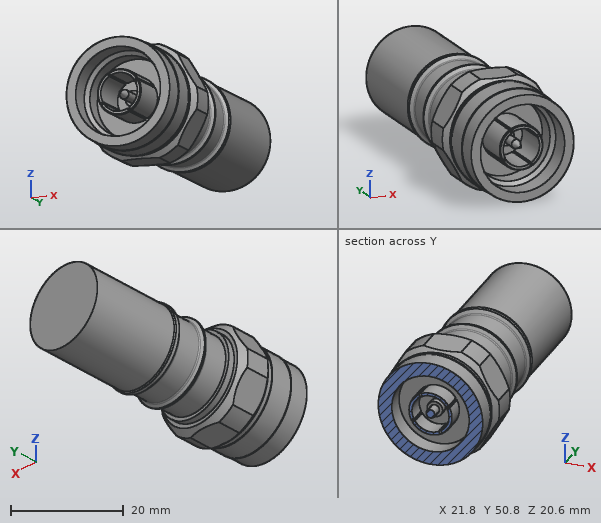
import cadquery as cq
import math

total_length = 50.8

shell_front_radius = 9.9
shell_band_radius = 10.05
shell_groove_radius = 9.9
band_start = 4.0
band_end = 8.75

nut_start = 9.65
nut_end = 17.0
nut_across_flats = 20.6
nut_corner_radius = 10.9
nut_front_chamfer = 1.0
nut_rear_chamfer = 1.3

collar_end = 18.4
neck_radius = 8.05
tube_radius = 8.55
ring_radius = 8.8
front_ring_crest_start = 24.05
front_ring_crest_end = 24.4
rear_ring_crest_start = 30.65
rear_ring_crest_end = 31.45
ring_flank_angle = math.radians(53)
ring_root_fillet = 0.35

socket_radius = 8.15
socket_inner_radius = 7.35
socket_step = 4.05
socket_depth = 8.4

sleeve_radius = 4.15
sleeve_bore_radius = 3.5
sleeve_start = 0.5
sleeve_chamfer = 0.15
slot_width = 0.35
slot_count = 4
slot_angle = 30.0

pin_radius = 0.85
pin_tip_radius = 0.15
pin_tip = 0.9
pin_cone_length = 2.05
pin_shoulder_radius = 1.45
pin_shoulder_start = 7.1


def turned(profile):
    """Close a (radius, Y) profile and turn it around the Y axis."""
    return profile.close().revolve(360, (0, 0, 0), (0, 1, 0))


def turned_points(points):
    return turned(cq.Workplane("XY").polyline(points))


def tube(outer_radius, inner_radius, start, end):
    ring = cq.Workplane("XZ", origin=(0, start, 0)).circle(outer_radius).circle(inner_radius)
    return ring.extrude(start - end)


def ring_flank(crest, direction):
    """Points of a ring flank: neck tangent, fillet middle, flank tangent and crest edge.

    direction is +1 when the flank falls towards +Y and -1 when it falls towards -Y.
    """
    def fillet_point(angle):
        radius = neck_radius + ring_root_fillet * (1 - math.cos(angle))
        return radius, foot + direction * ring_root_fillet * (1 - math.sin(angle))

    fillet_height = ring_root_fillet * (1 - math.cos(ring_flank_angle))
    cone_height = ring_radius - neck_radius - fillet_height
    cone_length = cone_height / math.tan(ring_flank_angle)
    fillet_length = ring_root_fillet * math.sin(ring_flank_angle)
    foot = crest + direction * (cone_length + fillet_length - ring_root_fillet)
    return [
        fillet_point(0),
        fillet_point(ring_flank_angle / 2),
        fillet_point(ring_flank_angle),
        (ring_radius, crest),
    ]


def climb(profile, flank):
    """Run along the neck and up a flank to the crest."""
    foot, middle, tangent, crest = flank
    return profile.lineTo(*foot).threePointArc(middle, tangent).lineTo(*crest)


def descend(profile, flank):
    """Run from the crest down a flank to the neck."""
    foot, middle, tangent, _ = flank
    return profile.lineTo(*tangent).threePointArc(middle, foot)


def make_body():
    profile = cq.Workplane("XY").polyline([
        (0, 0),
        (shell_front_radius, 0),
        (shell_front_radius, band_start),
        (shell_band_radius, band_start),
        (shell_band_radius, band_end),
        (shell_groove_radius, band_end),
        (shell_groove_radius, nut_start),
        (ring_radius, nut_start),
        (ring_radius, collar_end),
        (neck_radius, collar_end),
    ])
    profile = climb(profile, ring_flank(front_ring_crest_start, -1))
    profile = profile.lineTo(ring_radius, front_ring_crest_end)
    profile = descend(profile, ring_flank(front_ring_crest_end, 1))
    profile = climb(profile, ring_flank(rear_ring_crest_start, -1))
    profile = profile.lineTo(ring_radius, rear_ring_crest_end)
    rear_chamfer_end = rear_ring_crest_end + ring_radius - tube_radius
    profile = profile.lineTo(tube_radius, rear_chamfer_end)
    profile = profile.lineTo(tube_radius, total_length).lineTo(0, total_length)
    return turned(profile)


def make_nut():
    """Hexagon with its corners turned down and both ends chamfered."""
    across_corners = nut_across_flats / math.cos(math.pi / 6)
    hexagon = cq.Workplane("XZ", origin=(0, nut_start, 0)).polygon(6, across_corners)
    blank = turned_points([
        (0, nut_start),
        (nut_corner_radius - nut_front_chamfer, nut_start),
        (nut_corner_radius, nut_start + nut_front_chamfer),
        (nut_corner_radius, nut_end - nut_rear_chamfer),
        (nut_corner_radius - nut_rear_chamfer, nut_end),
        (0, nut_end),
    ])
    return hexagon.extrude(nut_start - nut_end).intersect(blank)


def make_socket():
    cone_end = socket_step + socket_radius - socket_inner_radius
    return turned_points([
        (0, 0),
        (socket_radius, 0),
        (socket_radius, socket_step),
        (socket_inner_radius, cone_end),
        (socket_inner_radius, socket_depth),
        (0, socket_depth),
    ])


def make_sleeve():
    sleeve = tube(sleeve_radius, sleeve_bore_radius, sleeve_start, socket_depth)
    outer_rim = sleeve.faces("<Y").edges(cq.selectors.RadiusNthSelector(-1))
    sleeve = outer_rim.chamfer(sleeve_chamfer)
    slot_length = socket_depth - sleeve_start
    for index in range(slot_count):
        slot = cq.Workplane("XY").box(
            sleeve_radius * 2, slot_length, slot_width, centered=(False, False, True)
        )
        slot = slot.translate((0, sleeve_start, 0))
        angle = slot_angle + index * 360 / slot_count
        sleeve = sleeve.cut(slot.rotate((0, 0, 0), (0, 1, 0), -angle))
    return sleeve


def make_pin():
    return turned_points([
        (0, pin_tip),
        (pin_tip_radius, pin_tip),
        (pin_radius, pin_tip + pin_cone_length),
        (pin_radius, pin_shoulder_start),
        (pin_shoulder_radius, pin_shoulder_start),
        (pin_shoulder_radius, socket_depth),
        (0, socket_depth),
    ])


body = make_body().union(make_nut()).cut(make_socket())
result = body.union(make_sleeve()).union(make_pin())